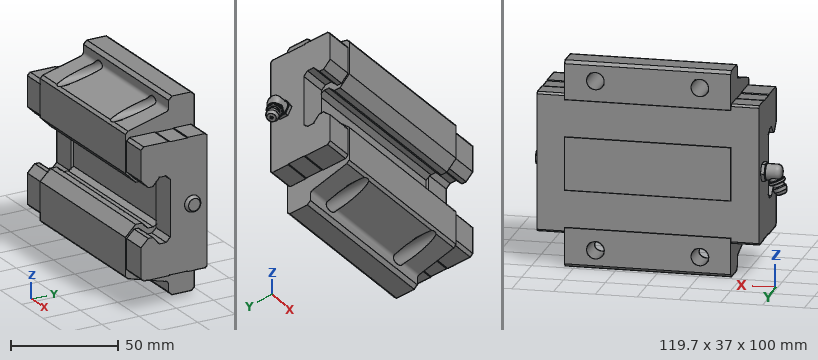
import cadquery as cq
import math


BLOCK_LENGTH = 79.6
BLOCK_DEPTH = 37.0
BLOCK_HALF_WIDTH = 50.0
FLANGE_THICKNESS = 13.8
FLANGE_MOUNT_CHAMFER = 1.5
FLANGE_INNER_CHAMFER = 1.8
SLOPE_ROOT_HALF_WIDTH = 43.0
SLOPE_ANGLE = 15.0
SLOPE_ROOT_RADIUS = 2.0
SLOPE_END_DEPTH = 35.6
SLOPE_END_CHAMFER = BLOCK_DEPTH - SLOPE_END_DEPTH

MOUTH_HALF_WIDTH = 16.1
LIP_HALF_WIDTH = 10.6
LIP_INNER_DEPTH = 28.1
BLOCK_GROOVE_HALF_WIDTH = 13.8
BLOCK_GROOVE_DEPTH = 22.0
BLOCK_FLOOR_DEPTH = 19.0
BLOCK_FLOOR_HALF_WIDTH = 12.1

FACE_GROOVE_INNER = 12.9
FACE_GROOVE_OUTER = 31.0
FACE_GROOVE_DEPTH = 0.7

HOLE_DIAMETER = 8.38
HOLE_PITCH_X = 50.0
HOLE_PITCH_Z = 82.0

CAP_THICKNESS = 13.3
CAP_FRONT = FACE_GROOVE_DEPTH
CAP_REAR = 36.3
CAP_HALF_WIDTH = 33.8
CAP_FRONT_CHAMFER = 1.0
CAP_REAR_CHAMFER = 1.5
CAP_FLOOR_DEPTH = 20.5
CAP_FLOOR_HALF_WIDTH = 14.5
CAP_GROOVE_HALF_WIDTH = 16.75
CAP_GROOVE_START = CAP_FLOOR_DEPTH + CAP_GROOVE_HALF_WIDTH - CAP_FLOOR_HALF_WIDTH
CAP_GROOVE_END = 26.3
CAP_LIP_HALF_WIDTH = 12.8
CAP_LIP_RAMP_DEPTH = 3.6
CAP_LIP_START = CAP_GROOVE_END + CAP_LIP_RAMP_DEPTH
CAP_MOUTH_HALF_WIDTH = 16.75
CAP_LIP_END = CAP_REAR - (CAP_MOUTH_HALF_WIDTH - CAP_LIP_HALF_WIDTH)
SIDE_RECESS = 0.3
SIDE_RECESS_START = 11.1
SIDE_RECESS_START_RAMP = 0.3
SIDE_RECESS_END = 21.4
SIDE_RECESS_END_RAMP = 0.8
CAP_END_X = BLOCK_LENGTH / 2 + CAP_THICKNESS

PORT_DEPTH = 8.65

HEX_ACROSS_FLATS = 8.2
HEX_HEIGHT = 1.7
HEX_COLLAR_DIAMETER = 8.0
HEX_COLLAR_END = 2.2
ELBOW_DIAMETER = 7.85
ELBOW_REACH = 9.4
ELBOW_ROUND = 2.4
NIPPLE_TILT = 22.5
NIPPLE_OFFSET = 5.05
STEM_DIAMETER = 6.6
COLLAR_DIAMETER = 8.0
COLLAR_START = 3.7
COLLAR_END = 5.5
COLLAR_CHAMFER = 0.4
NECK_DIAMETER = 5.5
HEAD_DIAMETER = STEM_DIAMETER
HEAD_SHOULDER = 7.0
HEAD_START = 7.5
HEAD_TAPER_DIAMETER = 6.42
HEAD_TAPER_START = 9.25
TIP_DIAMETER = 4.6
TIP_END = 11.0
GREASE_HOLE_DIAMETER = 1.5
GREASE_HOLE_DEPTH = 1.0

PLUG_DIAMETER = 8.38
PLUG_FACE_DIAMETER = 6.3
PLUG_HEIGHT = 1.9


def mirrored_outline(half):
    """Complete a list of (depth, half width) points by mirroring it about Z = 0."""
    upper = [(-depth, z) for depth, z in half]
    lower = [(-depth, -z) for depth, z in reversed(half)]
    return upper + lower


def extrude_along_x(half, x_start, length):
    """Extrude a mirrored outline from x_start toward +X."""
    plane = cq.Workplane("YZ", origin=(x_start, 0, 0))
    return plane.polyline(mirrored_outline(half)).close().extrude(length)


def make_block():
    slope_run = SLOPE_END_DEPTH - FLANGE_THICKNESS
    slope_fall = slope_run * math.tan(math.radians(SLOPE_ANGLE))
    slope_end_half_width = SLOPE_ROOT_HALF_WIDTH - slope_fall
    lip_outer_depth = BLOCK_DEPTH - (MOUTH_HALF_WIDTH - LIP_HALF_WIDTH)
    groove_end_depth = LIP_INNER_DEPTH - (BLOCK_GROOVE_HALF_WIDTH - LIP_HALF_WIDTH)
    half = [
        (0, BLOCK_HALF_WIDTH - FLANGE_MOUNT_CHAMFER),
        (FLANGE_MOUNT_CHAMFER, BLOCK_HALF_WIDTH),
        (FLANGE_THICKNESS - FLANGE_INNER_CHAMFER, BLOCK_HALF_WIDTH),
        (FLANGE_THICKNESS, BLOCK_HALF_WIDTH - FLANGE_INNER_CHAMFER),
        (FLANGE_THICKNESS, SLOPE_ROOT_HALF_WIDTH),
        (SLOPE_END_DEPTH, slope_end_half_width),
        (BLOCK_DEPTH, slope_end_half_width - SLOPE_END_CHAMFER),
        (BLOCK_DEPTH, MOUTH_HALF_WIDTH),
        (lip_outer_depth, LIP_HALF_WIDTH),
        (LIP_INNER_DEPTH, LIP_HALF_WIDTH),
        (groove_end_depth, BLOCK_GROOVE_HALF_WIDTH),
        (BLOCK_GROOVE_DEPTH, BLOCK_GROOVE_HALF_WIDTH),
        (BLOCK_FLOOR_DEPTH, BLOCK_FLOOR_HALF_WIDTH),
    ]
    block = extrude_along_x(half, -BLOCK_LENGTH / 2, BLOCK_LENGTH)
    for side in (1, -1):
        root = (0, -FLANGE_THICKNESS, side * SLOPE_ROOT_HALF_WIDTH)
        block = block.edges(cq.selectors.NearestToPointSelector(root)).fillet(SLOPE_ROOT_RADIUS)
    return block


def cut_face_grooves(block):
    width = FACE_GROOVE_OUTER - FACE_GROOVE_INNER
    middle = (FACE_GROOVE_OUTER + FACE_GROOVE_INNER) / 2
    for side in (1, -1):
        groove = cq.Workplane("XY").box(BLOCK_LENGTH, FACE_GROOVE_DEPTH, width)
        block = block.cut(groove.translate((0, -FACE_GROOVE_DEPTH / 2, side * middle)))
    return block


def cut_mounting_holes(block):
    holes = (
        cq.Workplane("XZ")
        .rect(HOLE_PITCH_X, HOLE_PITCH_Z, forConstruction=True)
        .vertices()
        .circle(HOLE_DIAMETER / 2)
        .extrude(BLOCK_DEPTH)
    )
    return block.cut(holes)


def make_cap(x_start):
    recess_half_width = CAP_HALF_WIDTH - SIDE_RECESS
    half = [
        (CAP_FRONT, CAP_HALF_WIDTH - CAP_FRONT_CHAMFER),
        (CAP_FRONT + CAP_FRONT_CHAMFER, CAP_HALF_WIDTH),
        (SIDE_RECESS_START, CAP_HALF_WIDTH),
        (SIDE_RECESS_START + SIDE_RECESS_START_RAMP, recess_half_width),
        (SIDE_RECESS_END - SIDE_RECESS_END_RAMP, recess_half_width),
        (SIDE_RECESS_END, CAP_HALF_WIDTH),
        (CAP_REAR - CAP_REAR_CHAMFER, CAP_HALF_WIDTH),
        (CAP_REAR, CAP_HALF_WIDTH - CAP_REAR_CHAMFER),
        (CAP_REAR, CAP_MOUTH_HALF_WIDTH),
        (CAP_LIP_END, CAP_LIP_HALF_WIDTH),
        (CAP_LIP_START, CAP_LIP_HALF_WIDTH),
        (CAP_GROOVE_END, CAP_GROOVE_HALF_WIDTH),
        (CAP_GROOVE_START, CAP_GROOVE_HALF_WIDTH),
        (CAP_FLOOR_DEPTH, CAP_FLOOR_HALF_WIDTH),
    ]
    return extrude_along_x(half, x_start, CAP_THICKNESS)


def make_elbow():
    """Hexagon and round-ended body pointing along -X from the cap face."""
    base = cq.Plane(origin=(-CAP_END_X, -PORT_DEPTH, 0), xDir=(0, 1, 0), normal=(-1, 0, 0))
    corner_diameter = HEX_ACROSS_FLATS / math.cos(math.pi / 6)
    hexagon = cq.Workplane(base).polygon(6, corner_diameter).extrude(HEX_HEIGHT)
    body = cq.Workplane(base).circle(ELBOW_DIAMETER / 2).extrude(ELBOW_REACH)
    body = body.faces("<X").edges().fillet(ELBOW_ROUND)
    hex_collar = cq.Workplane(base).circle(HEX_COLLAR_DIAMETER / 2).extrude(HEX_COLLAR_END)
    return hexagon.union(hex_collar).union(body)


def make_nipple_head():
    """Turned head, tilted from -Z toward -X, starting on the elbow axis."""
    tilt = math.radians(NIPPLE_TILT)
    axis = cq.Vector(-math.sin(tilt), 0, -math.cos(tilt))
    start = (-CAP_END_X - NIPPLE_OFFSET, -PORT_DEPTH, 0)
    stem_radius = STEM_DIAMETER / 2
    collar_radius = COLLAR_DIAMETER / 2
    neck_radius = NECK_DIAMETER / 2
    head_radius = HEAD_DIAMETER / 2
    grease_radius = GREASE_HOLE_DIAMETER / 2
    profile = [
        (0, 0),
        (stem_radius, 0),
        (stem_radius, COLLAR_START),
        (collar_radius - COLLAR_CHAMFER, COLLAR_START),
        (collar_radius, COLLAR_START + COLLAR_CHAMFER),
        (collar_radius, COLLAR_END - COLLAR_CHAMFER),
        (collar_radius - COLLAR_CHAMFER, COLLAR_END),
        (neck_radius, COLLAR_END),
        (neck_radius, HEAD_SHOULDER),
        (head_radius, HEAD_START),
        (HEAD_TAPER_DIAMETER / 2, HEAD_TAPER_START),
        (TIP_DIAMETER / 2, TIP_END),
        (grease_radius, TIP_END),
        (grease_radius, TIP_END - GREASE_HOLE_DEPTH),
        (0, TIP_END - GREASE_HOLE_DEPTH),
    ]
    plane = cq.Plane(origin=start, xDir=(0, 1, 0), normal=cq.Vector(0, 1, 0).cross(axis))
    return cq.Workplane(plane).polyline(profile).close().revolve(360, (0, 0), (0, 1))


def make_plug():
    """Domed plug on the +X cap face, with its rounded side as an arc."""
    rim_radius = PLUG_DIAMETER / 2
    face_radius = PLUG_FACE_DIAMETER / 2
    step = rim_radius - face_radius
    arc_radius = (step**2 + PLUG_HEIGHT**2) / (2 * step)
    half_sweep = math.asin(PLUG_HEIGHT / arc_radius) / 2
    arc_middle = (
        rim_radius - arc_radius * (1 - math.cos(half_sweep)),
        arc_radius * math.sin(half_sweep),
    )
    plane = cq.Plane(origin=(CAP_END_X, -PORT_DEPTH, 0), xDir=(0, 1, 0), normal=(0, 0, -1))
    return (
        cq.Workplane(plane)
        .lineTo(rim_radius, 0)
        .threePointArc(arc_middle, (face_radius, PLUG_HEIGHT))
        .lineTo(0, PLUG_HEIGHT)
        .close()
        .revolve(360, (0, 0), (0, 1))
    )


carriage = cut_mounting_holes(cut_face_grooves(make_block()))
carriage = carriage.union(make_cap(-CAP_END_X)).union(make_cap(BLOCK_LENGTH / 2))
result = carriage.union(make_elbow()).union(make_nipple_head()).union(make_plug())